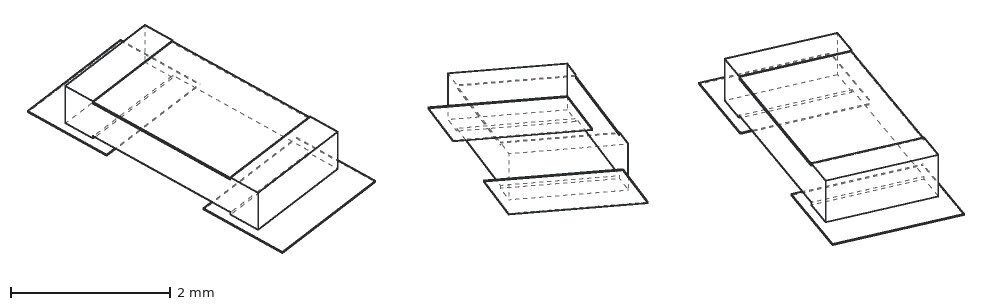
import cadquery as cq

overall_length = 4.2
overall_height = 0.63

pad_length = 1.3
pad_width = 1.8
pad_thickness = 0.015

chip_length = 3.18
chip_width = 1.545
terminal_length = 0.458
terminal_step = 0.038
coating_thickness = 0.025
coating_inset = 0.005

chip_height = overall_height - pad_thickness
core_length = chip_length - 2 * terminal_length
core_height = chip_height - 2 * terminal_step
core_bottom = pad_thickness + terminal_step
core_top = core_bottom + core_height


def block(length, width, height, center_x, bottom_z):
    """Box centred on the X axis line, standing on bottom_z."""
    return (
        cq.Workplane("XY")
        .box(length, width, height, centered=(True, True, False))
        .translate((center_x, 0, bottom_z))
    )


def make_chip():
    """Core, both terminals and the top coating as one solid."""
    chip = block(core_length, chip_width, core_height, 0, core_bottom)
    terminal_offset = (chip_length - terminal_length) / 2
    for side in (-1, 1):
        terminal = block(
            terminal_length, chip_width, chip_height, side * terminal_offset, pad_thickness
        )
        chip = chip.union(terminal)
    coating_width = chip_width - 2 * coating_inset
    coating = block(core_length, coating_width, coating_thickness, 0, core_top)
    return chip.union(coating).clean()


def make_pad(side):
    """Solder pad at the -X (side = -1) or +X (side = 1) end."""
    pad_offset = (overall_length - pad_length) / 2
    return block(pad_length, pad_width, pad_thickness, side * pad_offset, 0)


chip = make_chip()
pads = [make_pad(side) for side in (-1, 1)]

result = cq.Compound.makeCompound([chip.val(), *[pad.val() for pad in pads]])